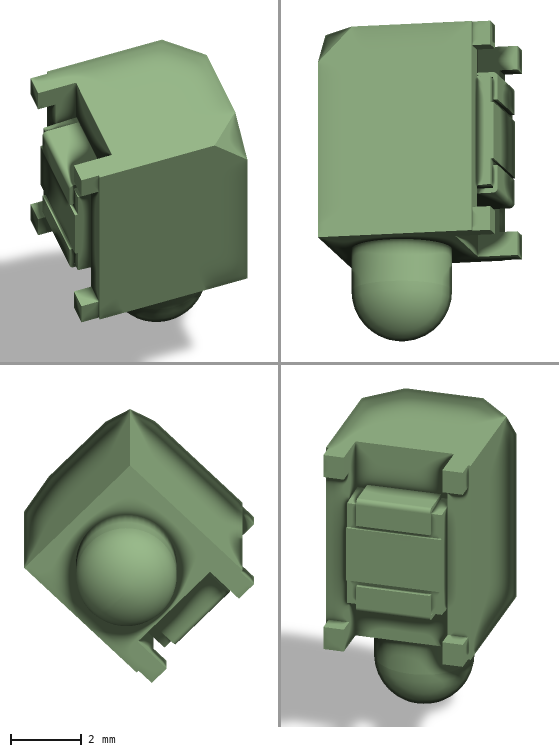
import cadquery as cq


total_height = 8.76
total_depth = 5.03
housing_width = 4.32
housing_height = 6.11
foot_depth = 0.525
corner_cut = 1.0

channel_width = 2.94
channel_depth = 1.16
feet_span = 4.16
foot_height = 0.69

lens_radius = 1.44
lens_from_back = 1.97

chip_width = 2.83
chip_length = 3.24
chip_front_y = 0.05
chip_base_depth = 0.21
end_taper = 0.05
raised_length = 1.65

terminal_width = 2.21
terminal_thickness = 0.14
terminal_leg = 0.81
bend_radius = 0.14
terminal_floor_gap = 0.05

mid_z = housing_height / 2


def box(width, y_start, y_end, z_start, z_end):
    """Box centred on X, spanning the given Y and Z ranges."""
    block = cq.Workplane("XY").box(width, y_end - y_start, z_end - z_start, centered=(True, False, False))
    return block.translate((0, y_start, z_start))


def corner_wedge(side):
    """Tetrahedron that cuts one rear top corner equally along all three edges."""
    x = side * housing_width / 2
    tip = cq.Vector(x, total_depth, housing_height)
    along_x = tip - cq.Vector(side * corner_cut, 0, 0)
    along_y = tip - cq.Vector(0, corner_cut, 0)
    along_z = tip - cq.Vector(0, 0, corner_cut)
    triangles = [
        (tip, along_x, along_y),
        (tip, along_y, along_z),
        (tip, along_z, along_x),
        (along_x, along_y, along_z),
    ]
    faces = [cq.Face.makeFromWires(cq.Wire.makePolygon(list(t), close=True)) for t in triangles]
    return cq.Workplane(obj=cq.Solid.makeSolid(cq.Shell.makeShell(faces)))


def make_housing():
    """Block with four feet, a full-height front channel and two cut corners."""
    housing = box(housing_width, foot_depth, total_depth, 0, housing_height)
    for foot_z in (0, housing_height - foot_height):
        housing = housing.union(box(feet_span, 0, foot_depth, foot_z, foot_z + foot_height))
    housing = housing.cut(box(channel_width, 0, channel_depth, 0, housing_height))
    for side in (-1, 1):
        housing = housing.cut(corner_wedge(side))
    return housing


def make_lens():
    """Cylinder with a hemispherical end, hanging below the housing."""
    lens_length = total_height - housing_height
    dome_start = lens_radius - lens_length
    profile = (
        cq.Workplane("XZ")
        .lineTo(lens_radius, 0)
        .lineTo(lens_radius, dome_start)
        .radiusArc((0, -lens_length), lens_radius)
        .close()
    )
    return profile.revolve(360, (0, 0), (0, 1)).translate((0, total_depth - lens_from_back, 0))


def extrude_side_profile(points, width):
    """Extrude a closed (y, z) outline symmetrically across the part's middle."""
    return cq.Workplane("YZ").polyline(points).close().extrude(width / 2, both=True)


def make_chip():
    """Chip body with slightly tapered ends and a raised middle band."""
    taper_start_y = channel_depth - chip_base_depth
    shoulder_y = terminal_thickness
    half_length = chip_length / 2
    half_front = half_length - end_taper
    profile = [
        (channel_depth, mid_z - half_length),
        (taper_start_y, mid_z - half_length),
        (shoulder_y, mid_z - half_front),
        (shoulder_y, mid_z + half_front),
        (taper_start_y, mid_z + half_length),
        (channel_depth, mid_z + half_length),
    ]
    body = extrude_side_profile(profile, chip_width)
    half_raised = raised_length / 2
    return body.union(box(chip_width, chip_front_y, shoulder_y, mid_z - half_raised, mid_z + half_raised))


def make_upper_terminal():
    """L-shaped strip over the upper chip end and down its front, with a rounded outer bend."""
    inner_z = mid_z + chip_length / 2
    outer_z = inner_z + terminal_thickness
    back_y = channel_depth - terminal_floor_gap
    profile = [
        (0, outer_z - terminal_leg),
        (0, outer_z),
        (back_y, outer_z),
        (back_y, inner_z),
        (terminal_thickness, inner_z),
        (terminal_thickness, outer_z - terminal_leg),
    ]
    strip = extrude_side_profile(profile, terminal_width)
    return strip.edges(">Z").edges("<Y").fillet(bend_radius)


upper_terminal = make_upper_terminal()
lower_terminal = upper_terminal.mirror("XY", (0, 0, mid_z))

result = make_housing().union(make_lens()).union(make_chip())
result = result.union(upper_terminal).union(lower_terminal)